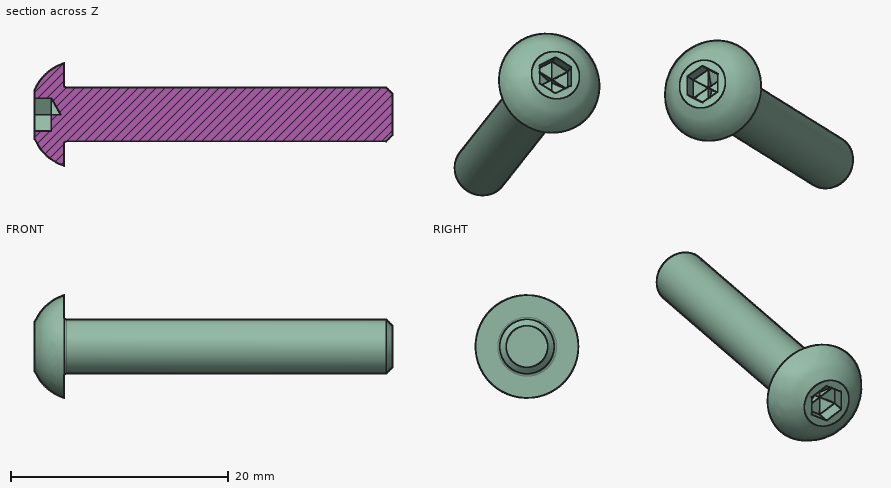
import cadquery as cq
import math

total_length = 32.95
head_diameter = 9.5
head_height = 2.75
head_flat_diameter = 4.5
shank_diameter = 5.0
tip_chamfer = 0.6
neck_fillet = 0.2

socket_across_flats = 3.0
socket_depth = 1.55
socket_point_depth = 0.85

head_radius = head_diameter / 2
flat_radius = head_flat_diameter / 2
shank_radius = shank_diameter / 2
front_x = -total_length / 2
head_back_x = front_x + head_height
tip_x = total_length / 2

dome_bulge = 0.4
dome_rise = head_radius - flat_radius
dome_chord = math.hypot(head_height, dome_rise)
dome_middle = (
    (front_x + head_back_x) / 2 - dome_bulge * dome_rise / dome_chord,
    (flat_radius + head_radius) / 2 + dome_bulge * head_height / dome_chord,
)


def make_screw_body():
    """Revolve the half profile of the head and shank about the X axis."""
    fillet_middle = neck_fillet * (1 - math.sqrt(0.5))
    return (
        cq.Workplane("XY")
        .moveTo(front_x, 0)
        .lineTo(front_x, flat_radius)
        .threePointArc(dome_middle, (head_back_x, head_radius))
        .lineTo(head_back_x, shank_radius + neck_fillet)
        .threePointArc(
            (head_back_x + fillet_middle, shank_radius + fillet_middle),
            (head_back_x + neck_fillet, shank_radius),
        )
        .lineTo(tip_x - tip_chamfer, shank_radius)
        .lineTo(tip_x, shank_radius - tip_chamfer)
        .lineTo(tip_x, 0)
        .close()
        .revolve(360, (0, 0, 0), (1, 0, 0))
    )


def make_tetrahedron(a, b, c, d):
    """Solid tetrahedron with the four given corners."""
    faces = []
    for triangle in ([a, b, c], [a, b, d], [b, c, d], [c, a, d]):
        faces.append(cq.Face.makeFromWires(cq.Wire.makePolygon(triangle, close=True)))
    return cq.Solid.makeSolid(cq.Shell.makeShell(faces))


def make_socket():
    """Hexagonal prism with corners on +Z and -Z, and the pockets in alternate sectors of its floor."""
    corner_radius = socket_across_flats / math.sqrt(3)
    bottom_x = front_x + socket_depth
    corners = []
    for index in range(6):
        angle = math.radians(90 + 60 * index)
        corners.append((corner_radius * math.cos(angle), corner_radius * math.sin(angle)))

    prism = cq.Workplane("YZ", origin=(front_x, 0, 0)).polyline(corners).close().extrude(socket_depth)

    center = cq.Vector(bottom_x, 0, 0)
    apex = cq.Vector(bottom_x + socket_point_depth, 0, 0)
    rim = [cq.Vector(bottom_x, y, z) for y, z in corners]
    pockets = []
    for index in range(0, 6, 2):
        pockets.append(make_tetrahedron(center, rim[index], rim[index + 1], apex))
    return prism, pockets


body = make_screw_body()
socket_prism, socket_pockets = make_socket()
result = body.cut(socket_prism)
for pocket in socket_pockets:
    result = result.cut(cq.Workplane("XY").add(pocket))